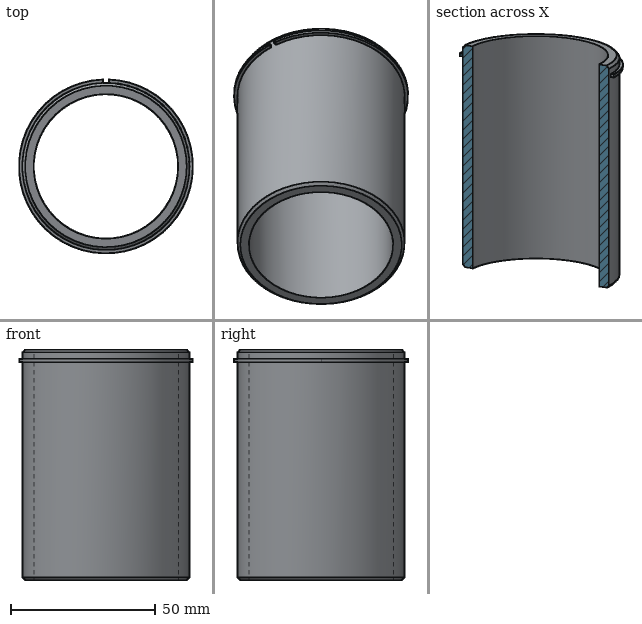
import cadquery as cq

sleeve_length = 80.0
sleeve_diameter = 58.0
bore_diameter = 50.0
rim_chamfer = 1.0

ring_diameter = 60.4
ring_thickness = 1.1
ring_top_setback = 3.25
ring_gap_width = 2.0


def make_sleeve():
    """Tube standing on the XY plane, with chamfered outer rims."""
    body = cq.Workplane("XY").circle(sleeve_diameter / 2).extrude(sleeve_length)
    body = body.faces("<Z or >Z").chamfer(rim_chamfer)
    bore = cq.Workplane("XY").circle(bore_diameter / 2).extrude(sleeve_length)
    return body.cut(bore)


def make_split_ring():
    """Flat ring seated on the sleeve's outer face, with a parallel-sided gap."""
    ring_bottom = sleeve_length - ring_top_setback - ring_thickness
    base = cq.Workplane("XY").workplane(offset=ring_bottom)
    ring = base.circle(ring_diameter / 2).circle(sleeve_diameter / 2).extrude(ring_thickness)
    gap = base.rect(ring_gap_width, ring_diameter / 2, centered=(True, False)).extrude(ring_thickness)
    return ring.cut(gap)


sleeve = make_sleeve()
split_ring = make_split_ring()

result = cq.Compound.makeCompound([sleeve.val(), split_ring.val()])